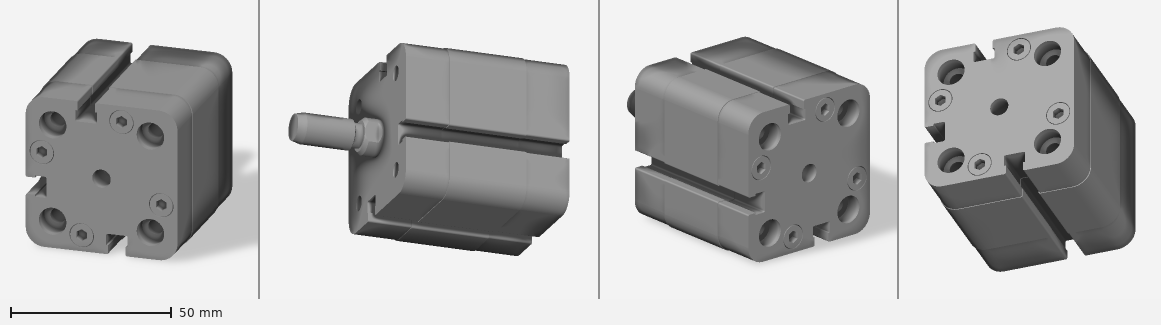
import cadquery as cq


TOTAL_LENGTH = 82.5
BODY_LENGTH = 54.5
CAP_LENGTH = 14.4

BARREL_SIDE = 50.1
CAP_INSET = 0.21
CAP_SIDE = BARREL_SIDE - 2 * CAP_INSET
CORNER_RADIUS = 6.0

SLOT_OFFSET = 5.0
CAP_SLOT_FLOOR = 18.1
CAP_SLOT_LEDGE = 21.8
CAP_NECK_WIDTH = 5.7
CAVITY_OVERHANG = 0.7
SLOT_FILLET = 0.5
SLOT_ANGLES = (0, 90, 180)

MOUNT_PITCH = 32.0
MOUNT_DIAMETER = 4.95
COUNTERBORE_DIAMETER = 9.0
COUNTERBORE_DEPTH = 5.45

SCREW_OFFSET = 6.5
SCREW_HEIGHT = 19.55
SCREW_HEAD_DIAMETER = 7.5
SCREW_SEAT_DIAMETER = 8.0
SCREW_GAP_DEPTH = 0.8
SOCKET_CORNER_DIAMETER = 4.05
SOCKET_DEPTH = 2.5
SCREW_POSITIONS = [
    (SCREW_OFFSET, SCREW_HEIGHT),
    (-SCREW_HEIGHT, SCREW_OFFSET),
    (-SCREW_OFFSET, -SCREW_HEIGHT),
    (SCREW_HEIGHT, -SCREW_OFFSET),
]

CENTRE_HOLE_DIAMETER = 6.0
CENTRE_HOLE_DEPTH = 9.9

COLLAR_DIAMETER = 12.0
COLLAR_END = 60.55
COLLAR_CHAMFER = 1.0
COLLAR_CHAMFER_LENGTH = 1.2
FLATS_WIDTH = 10.0
FLATS_START = 56.0
FLAT_ANGLES = (0, 180)
RELIEF_DIAMETER = 7.9
RELIEF_END = 63.2
THREAD_DIAMETER = 10.0
THREAD_START = 63.8
TIP_DIAMETER = 8.6
TIP_CHAMFER_LENGTH = 2.8


def front_plane(y=0.0):
    """Plane parallel to the front face: local x is X, local y is Z, normal is -Y."""
    return cq.Workplane("XZ", origin=(0, y, 0))


def spin(shape, angle):
    """Turn a shape about the Y axis, anticlockwise as seen from the front."""
    return shape.rotate((0, 0, 0), (0, -1, 0), angle)


def t_slot(growth, start, length):
    """Cutter for the top T-slot, with a rounded mouth and rounded floor corners.

    The growth offsets the cap's outline outwards, so the slot gets narrower and its
    floor and ledges rise.
    """
    top = CAP_SIDE / 2 + growth
    floor = CAP_SLOT_FLOOR + growth
    ledge = CAP_SLOT_LEDGE + growth
    half_neck = CAP_NECK_WIDTH / 2 - growth
    half_cavity = half_neck + CAVITY_OVERHANG
    half_mouth = half_neck + SLOT_FILLET
    half_floor = half_cavity - SLOT_FILLET
    profile = (
        front_plane(start)
        .center(-SLOT_OFFSET, 0)
        .moveTo(-half_floor, floor)
        .lineTo(half_floor, floor)
        .radiusArc((half_cavity, floor + SLOT_FILLET), -SLOT_FILLET)
        .lineTo(half_cavity, ledge)
        .lineTo(half_neck, ledge)
        .lineTo(half_neck, top - SLOT_FILLET)
        .radiusArc((half_mouth, top), SLOT_FILLET)
        .lineTo(-half_mouth, top)
        .radiusArc((-half_neck, top - SLOT_FILLET), SLOT_FILLET)
        .lineTo(-half_neck, ledge)
        .lineTo(-half_cavity, ledge)
        .lineTo(-half_cavity, floor + SLOT_FILLET)
        .radiusArc((-half_floor, floor), -SLOT_FILLET)
        .close()
    )
    return profile.extrude(-length)


def body_section(growth, start, length):
    """One slotted length of the square body, grown from the cap's cross-section."""
    side = CAP_SIDE + 2 * growth
    block = front_plane(start).rect(side, side).extrude(-length)
    block = block.edges("|Y").fillet(CORNER_RADIUS)
    slot = t_slot(growth, start, length)
    for angle in SLOT_ANGLES:
        block = block.cut(spin(slot, angle))
    return block


def make_body():
    barrel_length = BODY_LENGTH - 2 * CAP_LENGTH
    front_cap = body_section(0, 0, CAP_LENGTH)
    barrel = body_section(CAP_INSET, CAP_LENGTH, barrel_length)
    rear_cap = body_section(0, BODY_LENGTH - CAP_LENGTH, CAP_LENGTH)
    return front_cap.union(barrel).union(rear_cap)


def mounting_holes():
    """Through holes with counterbores in the front face."""
    corners = front_plane().rect(MOUNT_PITCH, MOUNT_PITCH, forConstruction=True).vertices()
    bores = corners.circle(MOUNT_DIAMETER / 2).extrude(-BODY_LENGTH)
    counterbores = corners.circle(COUNTERBORE_DIAMETER / 2).extrude(-COUNTERBORE_DEPTH)
    return bores.union(counterbores)


def screw_recesses():
    """Gap around each cap screw head, and its hexagon socket with corners up and down."""
    centres = front_plane().pushPoints(SCREW_POSITIONS)
    seats = centres.circle(SCREW_SEAT_DIAMETER / 2).extrude(-SCREW_GAP_DEPTH)
    heads = centres.circle(SCREW_HEAD_DIAMETER / 2).extrude(-SCREW_GAP_DEPTH)
    hexagon = cq.Sketch().regularPolygon(SOCKET_CORNER_DIAMETER / 2, 6)
    sockets = centres.placeSketch(hexagon).extrude(-SOCKET_DEPTH)
    return seats.cut(heads).union(sockets)


def make_rod():
    """Turned piston rod with a collar, thread relief and chamfered thread."""
    collar_radius = COLLAR_DIAMETER / 2
    thread_radius = THREAD_DIAMETER / 2
    profile = [
        (0, BODY_LENGTH),
        (collar_radius, BODY_LENGTH),
        (collar_radius, COLLAR_END - COLLAR_CHAMFER_LENGTH),
        (collar_radius - COLLAR_CHAMFER, COLLAR_END),
        (RELIEF_DIAMETER / 2, COLLAR_END),
        (RELIEF_DIAMETER / 2, RELIEF_END),
        (thread_radius, THREAD_START),
        (thread_radius, TOTAL_LENGTH - TIP_CHAMFER_LENGTH),
        (TIP_DIAMETER / 2, TOTAL_LENGTH),
        (0, TOTAL_LENGTH),
    ]
    return cq.Workplane("XY").polyline(profile).close().revolve(360, (0, 0), (0, 1))


def flat_cutter():
    """Cutter for the +X spanner flat, running out at 45 degrees towards the body."""
    flat = FLATS_WIDTH / 2
    outside = COLLAR_DIAMETER / 2
    return (
        cq.Workplane("XY")
        .moveTo(flat, COLLAR_END)
        .lineTo(flat, FLATS_START)
        .lineTo(outside, FLATS_START - (outside - flat))
        .lineTo(outside, COLLAR_END)
        .close()
        .extrude(outside, both=True)
    )


body = make_body().cut(mounting_holes())
body = body.cut(front_plane().circle(CENTRE_HOLE_DIAMETER / 2).extrude(-CENTRE_HOLE_DEPTH))
body = body.cut(screw_recesses())

rod = make_rod()
for flat_angle in FLAT_ANGLES:
    rod = rod.cut(spin(flat_cutter(), flat_angle))

result = body.union(rod)